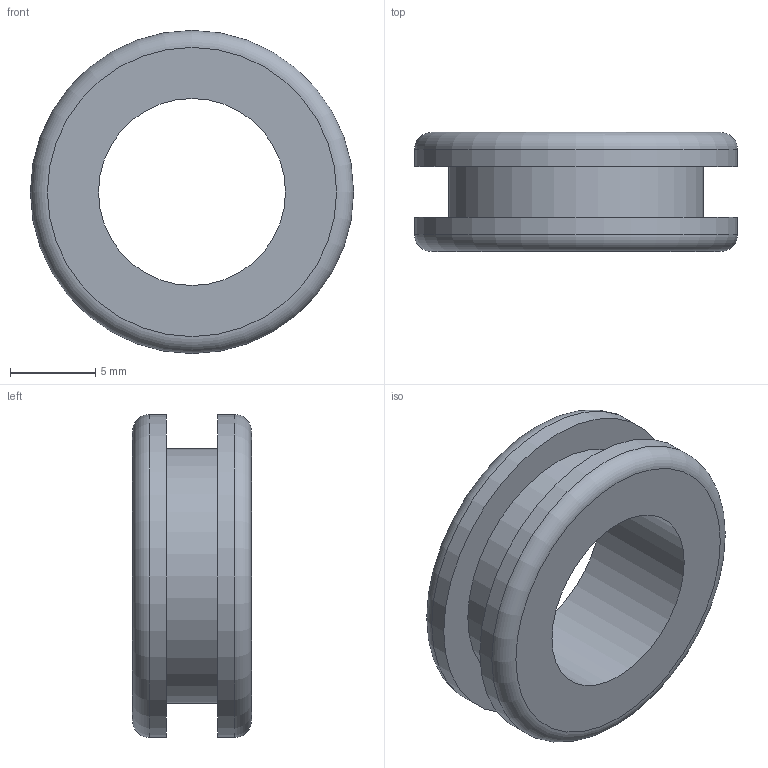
import cadquery as cq

flange_diameter = 19.0
neck_diameter = 15.0
bore_diameter = 11.0
total_width = 7.0
flange_thickness = 2.0
edge_radius = 1.0

half_width = total_width / 2
neck_width = total_width - 2 * flange_thickness


def disc(diameter, width, y_start):
    """Solid cylinder along +Y, starting at y_start."""
    return cq.Workplane("XZ", origin=(0, y_start, 0)).circle(diameter / 2).extrude(-width)


def flange(y_start, outer_face):
    """Flange with its outer rim rounded; outer_face selects the exposed face."""
    blank = disc(flange_diameter, flange_thickness, y_start)
    return blank.faces(outer_face).edges().fillet(edge_radius)


front_flange = flange(-half_width, "<Y")
back_flange = flange(neck_width / 2, ">Y")
neck = disc(neck_diameter, neck_width, -neck_width / 2)
bore = disc(bore_diameter, total_width, -half_width)

result = front_flange.union(neck).union(back_flange).cut(bore)